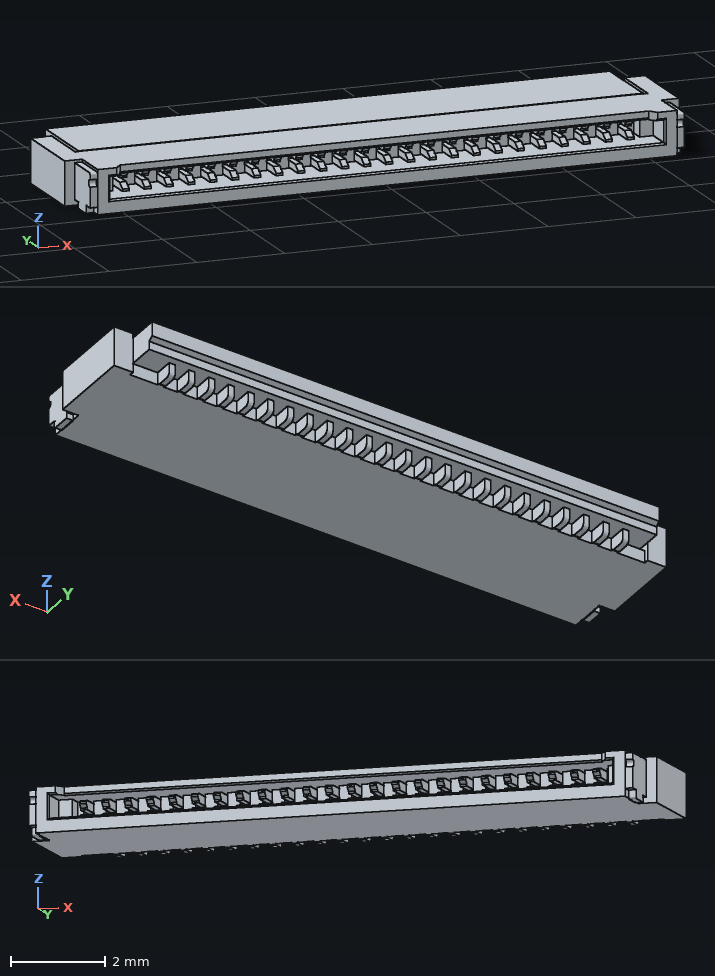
import cadquery as cq


LENGTH = 14.0
HEIGHT = 1.0
CHEEK_BACK = 2.9
SHOULDER_Y = 0.9
FRONT_HALF = 6.6
FLOOR_TOP = 0.31
FLOOR_BACK = 2.79

CEILING_Z = 0.81
MOUTH_HALF = 6.31
LEAD_IN = 0.04
EAR_DEPTH = 0.65
CABLE_HALF = 6.0
CABLE_DEPTH = 1.0
NOTCH_DEPTH = 0.17
NOTCH_FRONT_HALF = 6.16
NOTCH_BACK_HALF = 6.02

FLAP_HALF = 6.43
FLAP_FRONT = 1.56
FLAP_BACK = 3.5
FLAP_BOTTOM = 0.345
FLAP_STEP_Y = 3.39
FLAP_STEP_Z = 0.55
FLAP_LIP_Z = 0.63
FLAP_BAY_HALF = 6.52
FLAP_BAY_FRONT = 1.52

CONTACT_COUNT = 24
CONTACT_PITCH = 0.5
CONTACT_WIDTH = 0.15
CONTACT_SLOT_WIDTH = 0.22
STANDOFF = 0.02
FORK_BACK = 1.4
FORK_ROOT = 1.2
LOWER_TIP_Y = 0.53
LOWER_TIP_Z = 0.36
LOWER_RAMP_END = 0.7
LOWER_TOP = 0.47
UPPER_TIP_Y = 0.6
UPPER_TIP_TOP = 0.73
UPPER_TIP_BOTTOM = 0.69
UPPER_RAMP_END = 0.68
UPPER_TOP = 0.77
UPPER_NECK_Z = 0.61
UPPER_BOTTOM = 0.57
TAIL_BACK = 3.24
TAIL_FOOT_FRONT = 2.85
TAIL_RADIUS = 0.11

NAIL_THICKNESS = 0.17
NAIL_TOP = 0.94
NAIL_ROUND = 0.05
NAIL_BOTTOM = 0.13
NAIL_FRONT_BOTTOM = 0.17
NAIL_FOOT_FRONT = 0.23
NAIL_FOOT_BACK = 0.7
NAIL_GROOVE_Z = 0.71
NAIL_GROOVE_RADIUS = 0.08


def block(half_length, y_front, y_back, z_low, z_high):
    """Box centred on X between two Y and two Z positions."""
    size = (2 * half_length, y_back - y_front, z_high - z_low)
    return cq.Workplane("XY").box(*size, centered=(True, False, False)).translate((0, y_front, z_low))


def side_sketch(x):
    """Workplane at X = x whose local axes are Y and Z."""
    return cq.Workplane("YZ", origin=(x, 0, 0))


def mouth_lead_in():
    """Tapered frame that opens the mouth towards the front."""
    mid_z = (FLOOR_TOP + CEILING_Z) / 2
    rim_length = 2 * (MOUTH_HALF + LEAD_IN)
    rim_height = CEILING_Z - FLOOR_TOP + 2 * LEAD_IN
    rim = cq.Workplane("XZ", origin=(0, 0, mid_z)).rect(rim_length, rim_height)
    return rim.extrude(-LEAD_IN, taper=45)


def ceiling_notch():
    """Setback of the ceiling's front edge, with slanted ends and a bevelled lower edge."""
    setback = (
        cq.Workplane("XY", origin=(0, 0, CEILING_Z))
        .polyline([
            (-NOTCH_FRONT_HALF, 0),
            (NOTCH_FRONT_HALF, 0),
            (NOTCH_BACK_HALF, NOTCH_DEPTH),
            (-NOTCH_BACK_HALF, NOTCH_DEPTH),
        ])
        .close()
        .extrude(HEIGHT - CEILING_Z)
    )
    bevel = (
        side_sketch(-NOTCH_BACK_HALF)
        .polyline([
            (NOTCH_DEPTH, CEILING_Z),
            (NOTCH_DEPTH + LEAD_IN, CEILING_Z),
            (NOTCH_DEPTH, CEILING_Z + LEAD_IN),
        ])
        .close()
        .extrude(2 * NOTCH_BACK_HALF)
    )
    return setback.union(bevel)


def contact(x):
    """The two pieces of a contact: a fork standing on the floor and a solder tail at the rear."""
    left_side = side_sketch(x - CONTACT_WIDTH / 2)
    fork = (
        left_side
        .polyline([
            (LOWER_TIP_Y, FLOOR_TOP),
            (LOWER_TIP_Y, LOWER_TIP_Z),
            (LOWER_RAMP_END, LOWER_TOP),
            (FORK_ROOT, LOWER_TOP),
            (FORK_ROOT, UPPER_BOTTOM),
            (UPPER_RAMP_END, UPPER_BOTTOM),
            (UPPER_RAMP_END, UPPER_NECK_Z),
            (UPPER_TIP_Y, UPPER_TIP_BOTTOM),
            (UPPER_TIP_Y, UPPER_TIP_TOP),
            (UPPER_RAMP_END, UPPER_TOP),
            (FORK_BACK, UPPER_TOP),
            (FORK_BACK, FLOOR_TOP),
        ])
        .close()
        .extrude(CONTACT_WIDTH)
    )
    tail = (
        left_side
        .moveTo(FLOOR_BACK, 0)
        .lineTo(TAIL_FOOT_FRONT, 0)
        .lineTo(TAIL_FOOT_FRONT, -STANDOFF)
        .lineTo(TAIL_BACK - TAIL_RADIUS, -STANDOFF)
        .radiusArc((TAIL_BACK, TAIL_RADIUS - STANDOFF), -TAIL_RADIUS)
        .lineTo(TAIL_BACK, FLOOR_TOP)
        .lineTo(FLOOR_BACK, FLOOR_TOP)
        .close()
        .extrude(CONTACT_WIDTH)
    )
    return fork.val(), tail.val()


def make_housing():
    """Housing with its cable mouth, flap bay and row of contacts."""
    body = block(LENGTH / 2, SHOULDER_Y, CHEEK_BACK, 0, HEIGHT)
    body = body.union(block(FRONT_HALF, 0, SHOULDER_Y, 0, HEIGHT))
    body = body.cut(block(FLAP_BAY_HALF, FLAP_BAY_FRONT, CHEEK_BACK, FLOOR_TOP, HEIGHT))
    body = body.cut(block(FLAP_BAY_HALF, FLOOR_BACK, CHEEK_BACK, 0, HEIGHT))
    body = body.cut(block(MOUTH_HALF, 0, EAR_DEPTH, FLOOR_TOP, CEILING_Z))
    body = body.cut(block(CABLE_HALF, 0, CABLE_DEPTH, FLOOR_TOP, CEILING_Z))
    body = body.cut(mouth_lead_in())
    body = body.cut(ceiling_notch())
    slot = block(CONTACT_SLOT_WIDTH / 2, CABLE_DEPTH, FLAP_BAY_FRONT, FLOOR_TOP, CEILING_Z)
    slots = []
    contacts = []
    for index in range(CONTACT_COUNT):
        x = (index - (CONTACT_COUNT - 1) / 2) * CONTACT_PITCH
        slots.append(slot.val().translate(cq.Vector(x, 0, 0)))
        contacts.extend(contact(x))
    return body.val().cut(*slots).fuse(*contacts).Solids()[0]


def make_flap():
    """Hinged flap, closed, with a lip overhanging its rear face."""
    return (
        side_sketch(-FLAP_HALF)
        .polyline([
            (FLAP_FRONT, FLAP_BOTTOM),
            (FLAP_STEP_Y, FLAP_BOTTOM),
            (FLAP_STEP_Y, FLAP_STEP_Z),
            (FLAP_BACK, FLAP_LIP_Z),
            (FLAP_BACK, HEIGHT),
            (FLAP_FRONT, HEIGHT),
        ])
        .close()
        .extrude(2 * FLAP_HALF)
    )


def make_nail(inner_x, outward):
    """Solder nail plate against an end of the housing; outward is +1 or -1 along X."""
    return (
        side_sketch(inner_x)
        .moveTo(0, NAIL_FRONT_BOTTOM)
        .lineTo(NAIL_FOOT_FRONT, NAIL_FRONT_BOTTOM)
        .lineTo(NAIL_FOOT_FRONT, NAIL_ROUND - STANDOFF)
        .radiusArc((NAIL_FOOT_FRONT + NAIL_ROUND, -STANDOFF), -NAIL_ROUND)
        .lineTo(NAIL_FOOT_BACK, -STANDOFF)
        .lineTo(NAIL_FOOT_BACK, NAIL_BOTTOM)
        .lineTo(SHOULDER_Y, NAIL_BOTTOM)
        .lineTo(SHOULDER_Y, NAIL_TOP)
        .lineTo(NAIL_ROUND, NAIL_TOP)
        .radiusArc((0, NAIL_TOP - NAIL_ROUND), -NAIL_ROUND)
        .lineTo(0, NAIL_GROOVE_Z + NAIL_GROOVE_RADIUS)
        .threePointArc((NAIL_GROOVE_RADIUS, NAIL_GROOVE_Z), (0, NAIL_GROOVE_Z - NAIL_GROOVE_RADIUS))
        .close()
        .extrude(outward * NAIL_THICKNESS)
    )


housing = make_housing()
flap = make_flap()
nails = [make_nail(side * FRONT_HALF, side) for side in (-1, 1)]

result = cq.Compound.makeCompound([housing, flap.val(), *[nail.val() for nail in nails]])